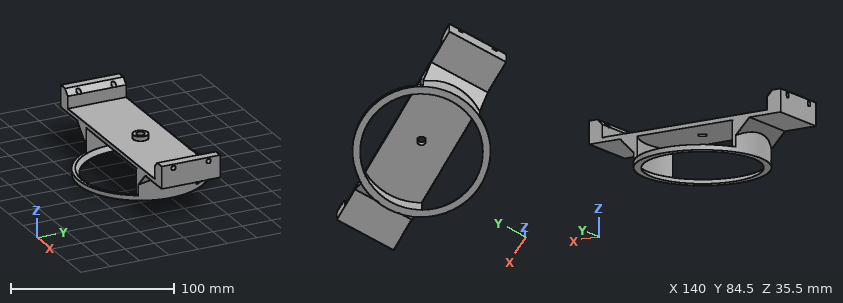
import cadquery as cq

length = 140.0
width = 40.0
total_height = 35.5
plate_thickness = 3.0
end_height = 15.0
lip_width = 10.0
lip_chamfer = 3.8
plate_bottom = total_height - end_height
plate_top = plate_bottom + plate_thickness

ring_outer_diameter = 84.5
wall_inner_diameter = 80.0
ring_bottom_diameter = 75.0
ring_height = 3.4
brace_half_span = 47.3

boss_diameter = 10.0
boss_height = 3.0
boss_hole_diameter = 5.5
lip_hole_diameter = 3.0
lip_hole_spacing = 24.0
lip_hole_depth_below_top = 2.5


def extrude_across_width(points):
    """Extrude a closed XZ outline symmetrically over the plate width."""
    return cq.Workplane("XZ").polyline(points).close().extrude(width / 2, both=True)


def make_plate():
    """Flat plate with a chamfered lip rising at each end."""
    half_length = length / 2
    lip_inner = half_length - lip_width
    right_side = [
        (half_length, plate_bottom),
        (half_length, total_height),
        (lip_inner + lip_chamfer, total_height),
        (lip_inner, total_height - lip_chamfer),
        (lip_inner, plate_top),
    ]
    left_side = [(-x, z) for x, z in reversed(right_side)]
    return extrude_across_width(right_side + left_side)


def make_support():
    """Ring, upright walls and braces around one tapered, then straight, bore."""
    outer_radius = ring_outer_diameter / 2
    ring = cq.Workplane("XY").circle(outer_radius).extrude(ring_height)
    column = cq.Workplane("XY").circle(outer_radius).extrude(plate_bottom)
    walls = column.intersect(cq.Workplane("XY").box(length, width, 2 * plate_bottom))
    braces = extrude_across_width([
        (-brace_half_span, plate_bottom),
        (brace_half_span, plate_bottom),
        (brace_half_span - plate_bottom, 0),
        (plate_bottom - brace_half_span, 0),
    ])
    bore = (
        cq.Workplane("XZ")
        .moveTo(0, 0)
        .lineTo(ring_bottom_diameter / 2, 0)
        .lineTo(wall_inner_diameter / 2, ring_height)
        .lineTo(wall_inner_diameter / 2, plate_bottom)
        .lineTo(0, plate_bottom)
        .close()
        .revolve(360, (0, 0, 0), (0, 1, 0))
    )
    return ring.union(walls).union(braces).cut(bore)


def make_boss():
    """Round boss standing on the middle of the plate."""
    return cq.Workplane("XY").workplane(offset=plate_top).circle(boss_diameter / 2).extrude(boss_height)


def make_boss_hole():
    """Vertical hole through the boss and plate."""
    return cq.Workplane("XY").circle(boss_hole_diameter / 2).extrude(total_height)


def make_lip_holes():
    """Two holes along X that pass through both lips."""
    hole_height = total_height - lip_hole_depth_below_top
    return (
        cq.Workplane("YZ")
        .pushPoints([(side * lip_hole_spacing / 2, hole_height) for side in (-1, 1)])
        .circle(lip_hole_diameter / 2)
        .extrude(length / 2, both=True)
    )


body = make_plate().union(make_support()).union(make_boss())
result = body.cut(make_boss_hole()).cut(make_lip_holes())